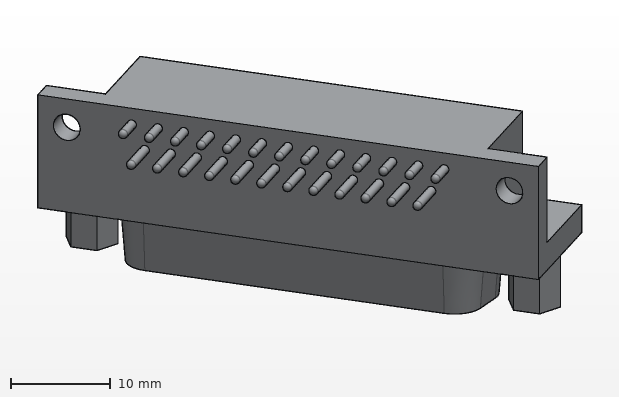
import cadquery as cq
import math

LENGTH = 53.45
DEPTH = 17.2
HEIGHT = 18.4

BODY_DEPTH = 12.7
BODY_HEIGHT = 12.35
WALL_THICKNESS = 2.55
FLOOR_THICKNESS = 3.05
END_LENGTH = 6.3

MOUNT_SPACING = 47.25
MOUNT_HOLE_DIAMETER = 2.85
MOUNT_HOLE_FROM_TOP = 3.1
STANDOFF_ACROSS_FLATS = 4.8
STANDOFF_FROM_BACK = 5.3

SHELL_DEPTH = 9.9
SHELL_FRONT_FLAT = 32.0
SHELL_CORNER_RADIUS = 3.5
SHELL_SIDE_ANGLE = 10.0
SHELL_DRAFT = 4.5

PIN_DIAMETER = 0.95
PIN_PITCH = 2.8
PIN_ROW_GAP = 2.55
TOP_ROW_FROM_TOP = 1.75
TOP_ROW_COUNT = 13
TOP_ROW_LENGTH = 3.05
PIN_ROOT = 0.55

BELOW_HEIGHT = HEIGHT - BODY_HEIGHT
BOTTOM_ROW_COUNT = TOP_ROW_COUNT - 1
BOTTOM_ROW_LENGTH = DEPTH - BODY_DEPTH
TOP_ROW_Z = BODY_HEIGHT - TOP_ROW_FROM_TOP
MOUNT_POSITIONS = (-MOUNT_SPACING / 2, MOUNT_SPACING / 2)


def make_housing():
    """Block with an open notch at each end and a mounting hole in each wall."""
    housing = cq.Workplane("XY").box(LENGTH, BODY_DEPTH, BODY_HEIGHT, centered=(True, False, False))
    notch = cq.Workplane("XY").box(
        END_LENGTH, BODY_DEPTH - WALL_THICKNESS, BODY_HEIGHT - FLOOR_THICKNESS, centered=(True, False, False)
    )
    notch_x = (LENGTH - END_LENGTH) / 2
    for x in (-notch_x, notch_x):
        housing = housing.cut(notch.translate((x, WALL_THICKNESS, FLOOR_THICKNESS)))

    hole_z = BODY_HEIGHT - MOUNT_HOLE_FROM_TOP
    holes = (
        cq.Workplane("XZ")
        .pushPoints([(x, hole_z) for x in MOUNT_POSITIONS])
        .circle(MOUNT_HOLE_DIAMETER / 2)
        .extrude(-WALL_THICKNESS)
    )
    return housing.cut(holes)


def make_shell():
    """Drafted D-shaped shell, wider toward the back, centred under the housing."""
    radius = SHELL_CORNER_RADIUS
    angle = math.radians(SHELL_SIDE_ANGLE)
    front_y = (BODY_DEPTH - SHELL_DEPTH) / 2
    back_y = front_y + SHELL_DEPTH

    front_x = SHELL_FRONT_FLAT / 2
    back_x = front_x + (SHELL_DEPTH - 2 * radius) * math.tan(angle)

    def on_arc(side, center_x, center_y, degrees):
        turn = math.radians(degrees)
        return side * (center_x + radius * math.cos(turn)), center_y + radius * math.sin(turn)

    def front_point(side, degrees):
        return on_arc(side, front_x, front_y + radius, degrees)

    def back_point(side, degrees):
        return on_arc(side, back_x, back_y - radius, degrees)

    side_normal = -SHELL_SIDE_ANGLE
    front_middle = (side_normal - 90) / 2
    back_middle = (side_normal + 90) / 2
    outline = (
        cq.Workplane("XY")
        .moveTo(*front_point(-1, -90))
        .lineTo(*front_point(1, -90))
        .threePointArc(front_point(1, front_middle), front_point(1, side_normal))
        .lineTo(*back_point(1, side_normal))
        .threePointArc(back_point(1, back_middle), back_point(1, 90))
        .lineTo(*back_point(-1, 90))
        .threePointArc(back_point(-1, back_middle), back_point(-1, side_normal))
        .lineTo(*front_point(-1, side_normal))
        .threePointArc(front_point(-1, front_middle), front_point(-1, -90))
        .close()
    )
    return outline.extrude(-BELOW_HEIGHT, taper=SHELL_DRAFT)


def make_standoffs():
    """Hexagonal standoffs with corners pointing along X."""
    across_corners = STANDOFF_ACROSS_FLATS / math.cos(math.radians(30))
    center_y = BODY_DEPTH - STANDOFF_FROM_BACK
    return (
        cq.Workplane("XY")
        .pushPoints([(x, center_y) for x in MOUNT_POSITIONS])
        .polygon(6, across_corners)
        .extrude(-BELOW_HEIGHT)
    )


def make_pin_row(count, length, z):
    """Row of pins standing out of the wall, each ending in a hemisphere."""
    radius = PIN_DIAMETER / 2
    shank = length - radius
    pin = (
        cq.Workplane("XY")
        .moveTo(0, PIN_ROOT)
        .lineTo(radius, PIN_ROOT)
        .lineTo(radius, -shank)
        .radiusArc((0, -length), radius)
        .close()
        .revolve(360, (0, 0, 0), (0, 1, 0))
    )
    first_x = -(count - 1) * PIN_PITCH / 2
    row = cq.Workplane("XY")
    for index in range(count):
        row = row.add(pin.translate((first_x + index * PIN_PITCH, 0, z)))
    return row.combine()


result = (
    make_housing()
    .union(make_shell())
    .union(make_standoffs())
    .union(make_pin_row(TOP_ROW_COUNT, TOP_ROW_LENGTH, TOP_ROW_Z))
    .union(make_pin_row(BOTTOM_ROW_COUNT, BOTTOM_ROW_LENGTH, TOP_ROW_Z - PIN_ROW_GAP))
)